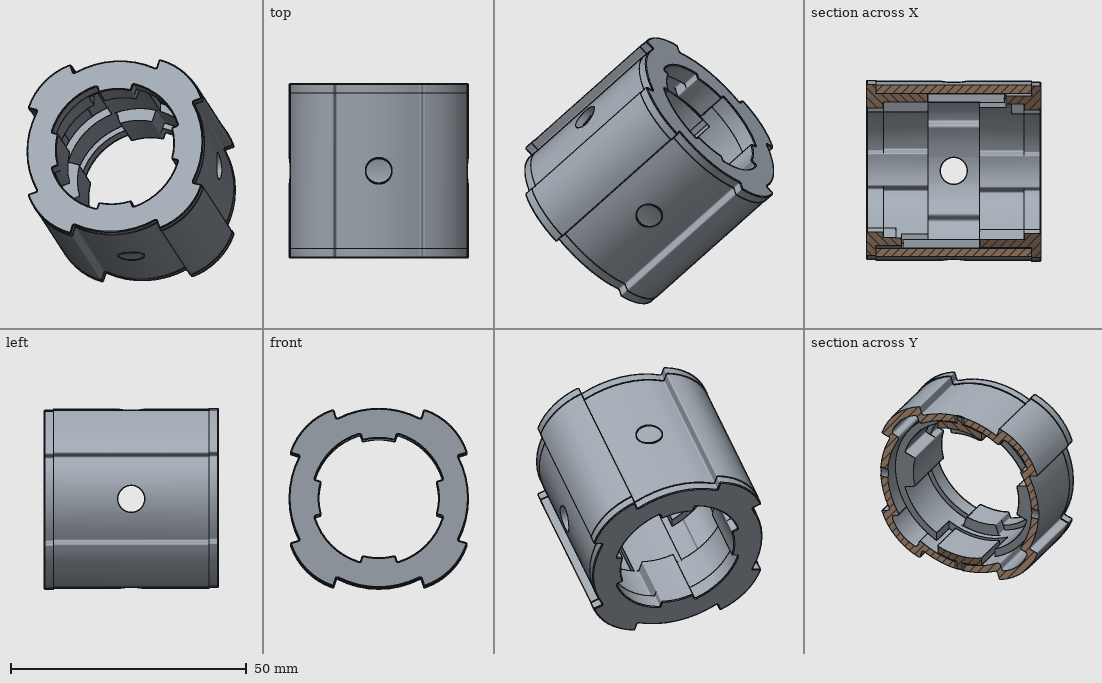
import cadquery as cq
import math

length = 37.0
outer_radius = 19.0
flange_length = 2.0
insert_shift = 0.2

lobe_root_x = 8.95
lobe_tip = (9.55, 18.78)
lobe_crest_radius = 21.6
corner_fillet = 0.3

wall = 1.75
cavity_radius = outer_radius - wall
cavity_root_x = 9.6
cavity_lobe_tip = (10.3, 16.3)
cavity_fillet = 0.58
cavity_crest_radius = lobe_crest_radius - wall
hole_radius = 2.85

bore_radius = 14.15
relief_radius = 15.3
relief_start = 14.9
key_radius = 12.67
key_tip_half_width = 3.45
key_root_half_width = 3.9
short_key_end = 12.3

hub_clearance = 0.25
hub_radius = cavity_radius - hub_clearance
hub_end = 5.5
notch_start = 11.05
notch_half_width = 7.03
tongue_half_width = 5.3
tongue_end = 10.75

bump_radius = 2.73
bump_top = 18.8
bump_edge = 0.2
trough_radius = 14.6
trough_depth = 0.23
edge_chamfer = 0.2

half_length = length / 2
sleeve_half_length = half_length - flange_length
quarter_turns = (0, 90, 180, 270)
upper_key_turns = (0, 90, 270)


def turned(point, degrees):
    """Point of an outline turned clockwise about the axis."""
    angle = math.radians(degrees)
    x, z = point
    return (x * math.cos(angle) + z * math.sin(angle), z * math.cos(angle) - x * math.sin(angle))


def section(y):
    """Sketch plane across the axis at the given Y."""
    return cq.Workplane("XZ", origin=(0, y, 0))


def lobed_prism(y_start, y_end, radius, root_x, tip, crest_radius, fillet):
    """Prism of a lobed outline: four arcs of a cylinder alternating with four lobes."""
    root_z = math.sqrt(radius**2 - root_x**2)
    tip_x, tip_z = tip
    crest = crest_radius * math.sqrt(0.5)
    outline = section(y_start).moveTo(-root_x, root_z)
    for turn in quarter_turns:
        outline = (
            outline.threePointArc(turned((0, radius), turn), turned((root_x, root_z), turn))
            .lineTo(*turned((tip_x, tip_z), turn))
            .threePointArc(turned((crest, crest), turn), turned((tip_z, tip_x), turn))
            .lineTo(*turned((root_z, root_x), turn))
        )
    prism = outline.close().extrude(y_start - y_end)
    return prism.edges("|Y").fillet(fillet)


def outer_prism(y_start, y_end):
    """Stretch of the outer shape, shared by the sleeve and the flanges."""
    return lobed_prism(y_start, y_end, outer_radius, lobe_root_x, lobe_tip, lobe_crest_radius, corner_fillet)


def keyed_bore(y_start, y_end, radius, key_turns=quarter_turns):
    """Void of the bore at the given radius, leaving a key standing at each given turn from +Z."""
    flank_slope = (key_root_half_width - key_tip_half_width) / (bore_radius - key_radius)
    root_half_width = key_tip_half_width + flank_slope * (radius - key_radius)
    tip_z = math.sqrt(key_radius**2 - key_tip_half_width**2)
    root_z = math.sqrt(radius**2 - root_half_width**2)
    diagonal = radius * math.sqrt(0.5)
    outline = section(y_start).moveTo(-root_half_width, root_z)
    for turn in quarter_turns:
        root = turned((root_half_width, root_z), turn)
        if turn in key_turns:
            outline = (
                outline.lineTo(*turned((-key_tip_half_width, tip_z), turn))
                .threePointArc(turned((0, key_radius), turn), turned((key_tip_half_width, tip_z), turn))
                .lineTo(*root)
            )
        else:
            outline = outline.threePointArc(turned((0, radius), turn), root)
        outline = outline.threePointArc(
            turned((diagonal, diagonal), turn), turned((root_z, root_half_width), turn)
        )
    bore = outline.close().extrude(y_start - y_end)
    for turn in key_turns:
        corners = cq.selectors.BoxSelector((-diagonal, y_start, 0), (diagonal, y_end, radius))
        bore = bore.rotate((0, 0, 0), (0, 1, 0), -turn)
        bore = bore.edges("|Y").edges(corners).fillet(corner_fillet)
        bore = bore.rotate((0, 0, 0), (0, 1, 0), turn)
    return bore


def wall_block(half_width, y_start, y_end):
    """Box from the axis out past the wall on the +Z side."""
    block = cq.Workplane().box(
        2 * half_width, y_end - y_start, lobe_crest_radius, centered=(True, False, False)
    )
    return block.translate((0, y_start, 0))


def make_sleeve():
    """Middle sleeve: lobed inside and out, with a hole on each of the four flats."""
    sleeve = outer_prism(-sleeve_half_length, sleeve_half_length)
    cavity = lobed_prism(
        -sleeve_half_length,
        sleeve_half_length,
        cavity_radius,
        cavity_root_x,
        cavity_lobe_tip,
        cavity_crest_radius,
        cavity_fillet,
    )
    sleeve = sleeve.cut(cavity)
    for plane in ("XY", "YZ"):
        sleeve = sleeve.cut(cq.Workplane(plane).circle(hole_radius).extrude(outer_radius, both=True))
    return sleeve


def make_tongue():
    """Snap tongue on the +Z side, ending in the notch of the opposite insert."""
    tongue = section(-hub_end).circle(hub_radius).circle(relief_radius).extrude(-hub_end - tongue_end)
    return tongue.intersect(wall_block(tongue_half_width, -hub_end, tongue_end))


def make_bump():
    """Round snap bump, rooted in the middle of the tongue wall."""
    bump_base = (relief_radius + hub_radius) / 2
    bump = cq.Workplane("XY", origin=(0, 0, bump_base)).circle(bump_radius).extrude(bump_top - bump_base)
    bump = bump.faces(">Z").edges().chamfer(bump_edge)
    trough_height = bump_top - trough_depth + trough_radius
    trough = cq.Workplane("YZ").center(0, trough_height).circle(trough_radius).extrude(bump_radius, both=True)
    return bump.cut(trough)


def make_insert():
    """Front insert: end flange, keyed hub with a notch at the bottom, snap tongue at the top."""
    flange = outer_prism(-half_length, -sleeve_half_length)
    hub = section(-sleeve_half_length).circle(hub_radius).extrude(hub_end - sleeve_half_length)
    insert = flange.union(hub)
    insert = insert.cut(keyed_bore(-half_length, -relief_start, bore_radius))
    insert = insert.cut(keyed_bore(-relief_start, -short_key_end, relief_radius))
    insert = insert.cut(keyed_bore(-short_key_end, -hub_end, relief_radius, upper_key_turns))
    insert = insert.faces("<Y").edges().chamfer(edge_chamfer)

    notch = wall_block(notch_half_width, -notch_start, -hub_end).rotate((0, 0, 0), (0, 1, 0), 180)
    insert = insert.cut(notch)
    insert = insert.union(make_tongue()).union(make_bump())
    return insert.translate((0, 0, insert_shift))


sleeve = make_sleeve()
front_insert = make_insert()
inserts = [front_insert.rotate((0, 0, 0), (1, 0, 0), turn).val() for turn in (0, 180)]

result = cq.Compound.makeCompound([sleeve.val(), *inserts])